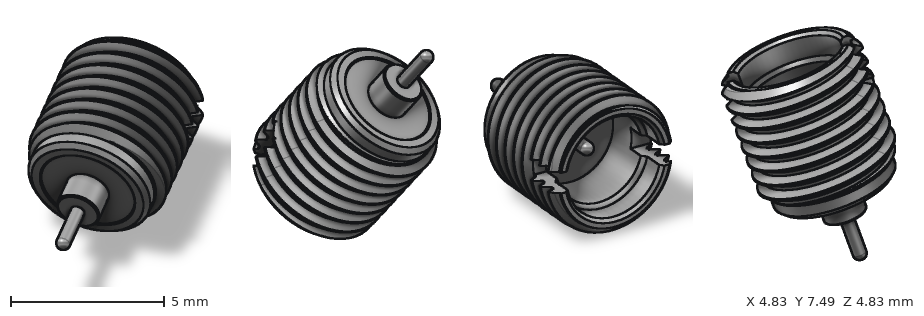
import cadquery as cq
import math


INCH = 25.4

thread_radius = 0.190 * INCH / 2
pitch = INCH / 48
flank_angle = math.radians(30)
crest_width = pitch / 8
root_width = pitch / 4
thread_depth = (pitch - crest_width - root_width) / 2 / math.tan(flank_angle)
root_radius = thread_radius - thread_depth
crest_height_at_x = 0.885
groove_overshoot = 0.03
groove_start_angle = 150
groove_turns = 9

barrel_length = 4.88
collar_radius = 2.11
collar_length = 0.56
collar_chamfer = 0.175
thread_chamfer = thread_radius - collar_radius

bore_radius = 1.80
bore_entry_chamfer = 0.125
bore_step_depth = 0.87
inner_bore_radius = 1.65
bore_depth = 2.80

slot_width = 0.75
slot_depth = 1.66

recess_radius = 1.65
recess_depth = 0.04
recess_wall_angle = 45
sleeve_radius = 0.733
sleeve_length = 0.95
sleeve_chamfer = 0.045

pin_radius = 0.235
pin_front_reach = 2.61
pin_back_depth = 1.535


origin = cq.Vector(0, 0, 0)
up = cq.Vector(0, 0, 1)
half_plane = cq.Plane(origin=(0, 0, 0), xDir=(0, -1, 0), normal=(-1, 0, 0))


def revolve_outline(outline):
    """Solid of revolution about the axis from a list of (radius, height) points."""
    return cq.Workplane(half_plane).polyline(outline).close().revolve(360, (0, 0), (0, 1))


def make_blank():
    """Collar and unthreaded barrel, with the thread ends chamfered at 45 degrees."""
    outline = [
        (0, 0),
        (collar_radius - collar_chamfer, 0),
        (collar_radius, collar_chamfer),
        (collar_radius, collar_length),
        (thread_radius, collar_length + thread_chamfer),
        (thread_radius, barrel_length - thread_chamfer),
        (collar_radius, barrel_length),
        (0, barrel_length),
    ]
    return revolve_outline(outline)


def make_helix(radius, height, start_angle):
    """One turn of a right-hand helix that starts at the given height and angle."""
    helix = cq.Wire.makeHelix(pitch, pitch, radius)
    return helix.rotate(origin, up, start_angle).translate(cq.Vector(0, 0, height))


def make_thread_groove():
    """Helical groove running past both ends of the thread, built turn by turn from ruled flanks."""
    groove_height_at_x = crest_height_at_x - pitch / 2 - pitch
    start_height = groove_height_at_x + pitch * groove_start_angle / 360
    outer_radius = thread_radius + groove_overshoot
    half_root = root_width / 2
    half_mouth = half_root + (outer_radius - root_radius) * math.tan(flank_angle)
    corners = [
        (root_radius, -half_root),
        (outer_radius, -half_mouth),
        (outer_radius, half_mouth),
        (root_radius, half_root),
    ]
    faces = []
    for turn in range(groove_turns):
        height = start_height + turn * pitch
        edges = [make_helix(radius, height + offset, groove_start_angle) for radius, offset in corners]
        for index in range(len(edges)):
            faces += cq.Face.makeRuledSurface(edges[index - 1], edges[index]).Faces()
        if turn == 0:
            start_outline = cq.Wire.makePolygon([edge.startPoint() for edge in edges], close=True)
            faces.append(cq.Face.makeFromWires(start_outline))
    end_outline = cq.Wire.makePolygon([edge.endPoint() for edge in edges], close=True)
    faces.append(cq.Face.makeFromWires(end_outline))
    return cq.Solid.makeSolid(cq.Shell.makeShell(faces))


def make_bore():
    """Stepped socket bore with a chamfered mouth and a 45 degree step."""
    step_end = bore_step_depth + bore_radius - inner_bore_radius
    outline = [
        (0, barrel_length),
        (bore_radius + bore_entry_chamfer, barrel_length),
        (bore_radius, barrel_length - bore_entry_chamfer),
        (bore_radius, barrel_length - bore_step_depth),
        (inner_bore_radius, barrel_length - step_end),
        (inner_bore_radius, barrel_length - bore_depth),
        (0, barrel_length - bore_depth),
    ]
    return revolve_outline(outline)


def make_slot():
    """Slot through both walls of the socket, along X."""
    slot_length = 2 * thread_radius + slot_width
    floor = barrel_length - slot_depth
    return (
        cq.Workplane("XY", origin=(0, 0, floor))
        .rect(slot_length, slot_width)
        .extrude(slot_depth)
    )


def make_front_recess():
    """Shallow recess in the front face with a 45 degree wall."""
    return cq.Workplane("XY").circle(recess_radius).extrude(recess_depth, taper=recess_wall_angle)


def make_sleeve():
    """Insulator sleeve rising from the recess floor around the pin."""
    return (
        cq.Workplane("XY", origin=(0, 0, -sleeve_length))
        .circle(sleeve_radius)
        .extrude(sleeve_length + recess_depth)
        .faces("<Z")
        .chamfer(sleeve_chamfer)
    )


def make_pin():
    """Contact pin through the whole jack with a hemisphere on each end."""
    front = -pin_front_reach
    back = barrel_length - pin_back_depth
    bend = pin_radius * math.sqrt(0.5)
    return (
        cq.Workplane(half_plane)
        .moveTo(0, front)
        .threePointArc((bend, front + pin_radius - bend), (pin_radius, front + pin_radius))
        .lineTo(pin_radius, back - pin_radius)
        .threePointArc((bend, back - pin_radius + bend), (0, back))
        .close()
        .revolve(360, (0, 0), (0, 1))
    )


barrel = make_blank().cut(make_bore()).cut(make_slot()).cut(make_front_recess())
plain_jack = barrel.union(make_sleeve()).union(make_pin())
jack = plain_jack.cut(cq.Workplane(make_thread_groove()), clean=False)

result = jack.rotate(origin, cq.Vector(1, 0, 0), -90)